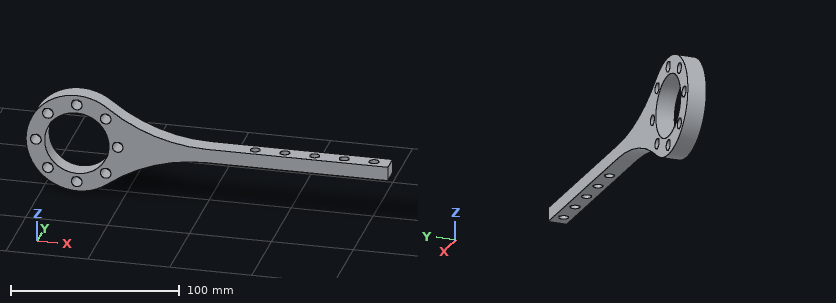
import cadquery as cq
import math

total_length = 221.0
thickness = 12.0
ring_diameter = 62.0
bore_diameter = 39.1

bolt_count = 8
bolt_circle_diameter = 50.0
bolt_hole_diameter = 6.5

bar_height = 8.8
blend_radius = 100.0

bar_hole_count = 5
bar_hole_diameter = 5.7
bar_hole_pitch = 18.1
bar_hole_end_distance = 10.0

ring_radius = ring_diameter / 2
bar_end_x = total_length - ring_radius
half_bar = bar_height / 2

blend_center_z = half_bar + blend_radius
center_distance = ring_radius + blend_radius
blend_center_x = math.sqrt(center_distance**2 - blend_center_z**2)
contact_angle = math.atan2(blend_center_z, blend_center_x)
ring_contact = (ring_radius * math.cos(contact_angle), ring_radius * math.sin(contact_angle))
bar_contact = (blend_center_x, half_bar)

middle_angle = (contact_angle + math.pi / 2) / 2 + math.pi
blend_middle = (
    blend_center_x + blend_radius * math.cos(middle_angle),
    blend_center_z + blend_radius * math.sin(middle_angle),
)


def mirrored(point):
    """Reflect a profile point across the long axis of the bar."""
    return (point[0], -point[1])


def make_body():
    """Extrude the ring, blends and bar as one plate, centred on Y."""
    return (
        cq.Workplane("XZ")
        .moveTo(*ring_contact)
        .threePointArc((-ring_radius, 0), mirrored(ring_contact))
        .threePointArc(mirrored(blend_middle), mirrored(bar_contact))
        .lineTo(bar_end_x, -half_bar)
        .lineTo(bar_end_x, half_bar)
        .lineTo(*bar_contact)
        .threePointArc(blend_middle, ring_contact)
        .close()
        .extrude(thickness / 2, both=True)
    )


def make_ring_holes():
    """Bore and bolt circle, running along Y through the plate."""
    bore = cq.Workplane("XZ").circle(bore_diameter / 2).extrude(thickness, both=True)
    bolts = (
        cq.Workplane("XZ")
        .polarArray(bolt_circle_diameter / 2, 0, 360, bolt_count)
        .circle(bolt_hole_diameter / 2)
        .extrude(thickness, both=True)
    )
    return bore.union(bolts)


def make_bar_holes():
    """Row of holes running along Z through the bar."""
    last_hole_x = bar_end_x - bar_hole_end_distance
    centers = [(last_hole_x - i * bar_hole_pitch, 0) for i in range(bar_hole_count)]
    return (
        cq.Workplane("XY")
        .pushPoints(centers)
        .circle(bar_hole_diameter / 2)
        .extrude(bar_height, both=True)
    )


result = make_body().cut(make_ring_holes()).cut(make_bar_holes())